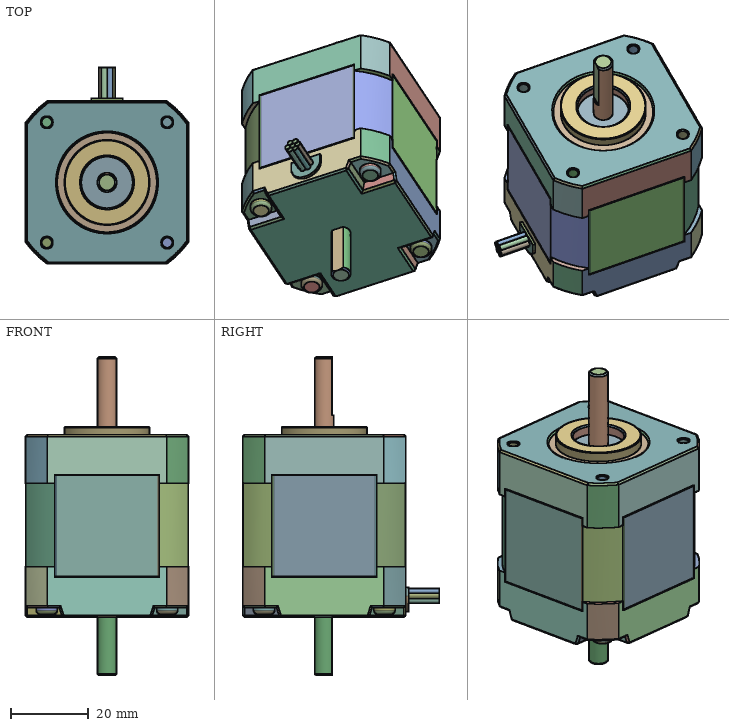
import cadquery as cq
import math

tolerance = 0.01

body_width = 42.0
body_height = 47.0
half_width = body_width / 2
cap_corner_radius = 26.0
cap_chamfer = 0.5
bottom_cap_top = 13.0
top_cap_bottom = 34.5

core_corner_radius = 24.85
panel_half_width = 13.5
panel_bottom = 10.35
panel_top = 36.7
panel_face = 20.95
panel_side_bevel = 0.45
panel_end_bevel = 0.2
core_half_width = math.sqrt(core_corner_radius**2 - panel_half_width**2)

notch_roof = 2.45
notch_roof_wall = 12.3
notch_mouth_wall = 11.5
screw_offset = 15.5
screw_head_radius = 2.75
screw_head_rim = 1.75
screw_head_bottom = 0.8
screw_head_flat_radius = 2.0
screw_head_bulge = 0.12

hole_diameter = 2.6
hole_mouth_diameter = 3.2
hole_depth = 4.5

boss_radius = 11.0
boss_height = 2.0
boss_chamfer = 0.2
recess_radius = 13.2
recess_floor_radius = 12.8
recess_depth = 0.5
bore_radius = 6.6
bore_depth = 2.7
bore_chamfer = 0.4

shaft_radius = 2.5
shaft_top_length = 20.0
shaft_bottom_length = 15.0
shaft_flat_length = 15.0
shaft_flat_offset = 2.0
shaft_chamfer = 0.45

cable_height = 5.5
cable_reach = 8.6
wire_diameter = 1.45
wire_pitch = 1.42
outlet_radius = 4.1
outlet_top = 7.75
outlet_thickness = 0.7


def square_with_round_corners(half_side, corner_radius, z_bottom, z_top):
    """Square prism whose corners are trimmed by a coaxial cylinder."""
    height = z_top - z_bottom
    plane = cq.Workplane("XY", origin=(0, 0, z_bottom))
    cylinder = plane.circle(corner_radius).extrude(height)
    return plane.rect(2 * half_side, 2 * half_side).extrude(height).intersect(cylinder)


def around_axis(shape):
    """Four copies of a shape, a quarter turn apart about the Z axis."""
    return [shape.rotate((0, 0, 0), (0, 0, 1), 90 * quarter) for quarter in range(4)]


def corner_notch():
    """Pocket under the (+X, +Y) corner, wider at its mouth on the bottom face than at its roof."""
    outer = half_width + 1
    roof_size = outer - notch_roof_wall
    mouth_size = outer - notch_mouth_wall
    mouth_center = (outer + notch_mouth_wall) / 2
    roof_shift = (notch_roof_wall - notch_mouth_wall) / 2
    return (
        cq.Workplane("XY")
        .center(mouth_center, mouth_center)
        .rect(mouth_size, mouth_size)
        .workplane(offset=notch_roof)
        .center(roof_shift, roof_shift)
        .rect(roof_size, roof_size)
        .loft(ruled=True)
    )


def is_bottom_rim(edge):
    """True for edges on the bottom face and for notch edges on the outer walls."""
    center = edge.Center()
    on_bottom_face = center.z < tolerance
    on_outer_wall = math.hypot(center.x, center.y) > half_width
    return on_bottom_face or (on_outer_wall and center.z < notch_roof + tolerance)


def bottom_cap():
    """Lower end cap with four corner notches and a chamfered rim that follows them."""
    cap = square_with_round_corners(half_width, cap_corner_radius, 0, bottom_cap_top)
    for notch in around_axis(corner_notch()):
        cap = cap.cut(notch)
    rim_edges = [edge for edge in cap.edges().vals() if is_bottom_rim(edge)]
    return cap.newObject(rim_edges).chamfer(cap_chamfer)


def top_cap():
    """Upper end cap, chamfered around its top face."""
    cap = square_with_round_corners(half_width, cap_corner_radius, top_cap_bottom, body_height)
    return cap.faces(">Z").edges().chamfer(cap_chamfer)


def core():
    """Recessed middle of the body between the two caps."""
    return square_with_round_corners(core_half_width, core_corner_radius, bottom_cap_top, top_cap_bottom)


def panel_window():
    """Cutter that clears the panel outline on the -Y side down to the core."""
    outline = cq.Workplane("XZ", origin=(0, -core_half_width, (panel_top + panel_bottom) / 2))
    return outline.rect(2 * panel_half_width, panel_top - panel_bottom).extrude(half_width - core_half_width)


def side_panel():
    """Raised flat panel on the -Y side; its four sides slope up from the core."""
    height = panel_top - panel_bottom
    return (
        cq.Workplane("XZ", origin=(0, -core_half_width, (panel_top + panel_bottom) / 2))
        .rect(2 * panel_half_width, height)
        .workplane(offset=panel_face - core_half_width)
        .rect(2 * (panel_half_width - panel_side_bevel), height - 2 * panel_end_bevel)
        .loft(ruled=True)
    )


def screw_head():
    """Domed screw head hanging from the roof of the (+X, +Y) notch."""
    dome_mid_radius = (screw_head_radius + screw_head_flat_radius) / 2 + screw_head_bulge
    dome_mid_z = (screw_head_rim + screw_head_bottom) / 2 - screw_head_bulge
    profile = (
        cq.Workplane("XZ")
        .moveTo(0, notch_roof)
        .lineTo(screw_head_radius, notch_roof)
        .lineTo(screw_head_radius, screw_head_rim)
        .threePointArc((dome_mid_radius, dome_mid_z), (screw_head_flat_radius, screw_head_bottom))
        .lineTo(0, screw_head_bottom)
        .close()
    )
    return profile.revolve(360, (0, 0), (0, 1)).translate((screw_offset, screw_offset, 0))


def mounting_hole():
    """Blind hole with a countersunk mouth, for the (+X, +Y) corner of the top face."""
    radius = hole_diameter / 2
    mouth_radius = hole_mouth_diameter / 2
    mouth_depth = mouth_radius - radius
    profile = (
        cq.Workplane("XZ")
        .lineTo(mouth_radius, 0)
        .lineTo(radius, -mouth_depth)
        .lineTo(radius, -hole_depth)
        .lineTo(0, -hole_depth)
        .close()
    )
    hole = profile.revolve(360, (0, 0), (0, 1))
    return hole.translate((screw_offset, screw_offset, body_height))


def boss_recess():
    """Shallow round recess with a sloped wall in the top face."""
    return (
        cq.Workplane("XY", origin=(0, 0, body_height - recess_depth))
        .circle(recess_floor_radius)
        .workplane(offset=recess_depth)
        .circle(recess_radius)
        .loft()
    )


def pilot_boss():
    """Round boss standing on the recess floor."""
    boss = cq.Workplane("XY", origin=(0, 0, body_height - recess_depth))
    boss = boss.circle(boss_radius).extrude(boss_height + recess_depth)
    return boss.faces(">Z").edges().chamfer(boss_chamfer)


def boss_bore():
    """Blind bore with a chamfered mouth around the shaft."""
    boss_top = body_height + boss_height
    profile = (
        cq.Workplane("XZ")
        .moveTo(0, boss_top)
        .lineTo(bore_radius + bore_chamfer, boss_top)
        .lineTo(bore_radius, boss_top - bore_chamfer)
        .lineTo(bore_radius, boss_top - bore_depth)
        .lineTo(0, boss_top - bore_depth)
        .close()
    )
    return profile.revolve(360, (0, 0), (0, 1))


def shaft():
    """Through shaft with chamfered ends and a flat on the +Y side of each end."""
    bottom = -shaft_bottom_length
    length = shaft_bottom_length + body_height + shaft_top_length
    rod = cq.Workplane("XY", origin=(0, 0, bottom)).circle(shaft_radius).extrude(length)
    rod = rod.faces("<Z or >Z").edges().chamfer(shaft_chamfer)
    for flat_bottom in (bottom, bottom + length - shaft_flat_length):
        flat = cq.Workplane("XY", origin=(0, shaft_flat_offset + shaft_radius, flat_bottom))
        rod = rod.cut(flat.rect(2 * shaft_radius, 2 * shaft_radius).extrude(shaft_flat_length))
    return rod


def cable_outlet():
    """Plate with a half-round lower end on the +Y side."""
    straight_height = outlet_top - cable_height
    plate = (
        cq.Workplane("XZ", origin=(0, half_width, cable_height))
        .moveTo(-outlet_radius, straight_height)
        .lineTo(-outlet_radius, 0)
        .threePointArc((0, -outlet_radius), (outlet_radius, 0))
        .lineTo(outlet_radius, straight_height)
        .close()
    )
    return plate.extrude(-outlet_thickness)


def wire_bundle():
    """Seven wires packed in rows of two, three and two, leaving along +Y."""
    row_pitch = wire_pitch * math.sin(math.radians(60))
    points = []
    for row, count in ((-1, 2), (0, 3), (1, 2)):
        for index in range(count):
            points.append(((index - (count - 1) / 2) * wire_pitch, row * row_pitch))
    plane = cq.Workplane("XZ", origin=(0, half_width, cable_height))
    bundle = None
    for point in points:
        wire = plane.center(*point).circle(wire_diameter / 2).extrude(-cable_reach)
        bundle = wire if bundle is None else bundle.union(wire)
    return bundle


body = bottom_cap().union(core()).union(top_cap())
for window in around_axis(panel_window()):
    body = body.cut(window)
for panel in around_axis(side_panel()):
    body = body.union(panel)
for head in around_axis(screw_head()):
    body = body.union(head)
for hole in around_axis(mounting_hole()):
    body = body.cut(hole)

body = body.cut(boss_recess()).union(pilot_boss()).cut(boss_bore())
result = body.union(shaft()).union(cable_outlet()).union(wire_bundle())